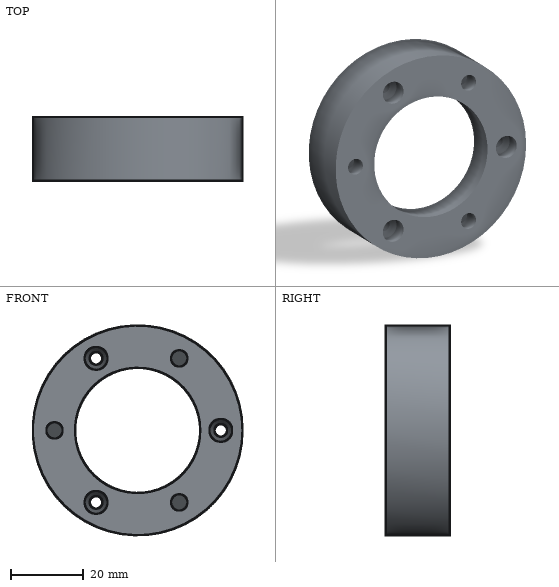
import cadquery as cq
import math

outer_diameter = 58.0
bore_diameter = 34.5
thickness = 17.7

recess_diameter = 52.8
recess_depth = thickness / 2

pitch_radius = 22.95
holes_per_set = 3
hole_step = 360.0 / holes_per_set

screw_hole_diameter = 3.4
screw_head_diameter = 6.3
screw_head_depth = 4.65
seat_angle = 90.0
seat_depth = (screw_head_diameter - screw_hole_diameter) / 2 / math.tan(math.radians(seat_angle / 2))

blind_hole_diameter = 4.5
blind_hole_depth = 5.8

screw_start_angle = 0.0
blind_start_angle = hole_step / 2


def hole_centres(start_angle):
    """Evenly spaced (X, Z) centres of one set of holes."""
    angles = [math.radians(start_angle + i * hole_step) for i in range(holes_per_set)]
    return [(pitch_radius * math.cos(a), pitch_radius * math.sin(a)) for a in angles]


def cylinder(diameter, start_y, length):
    """Cylinder on the ring axis, running from start_y towards +Y."""
    plane = cq.Workplane("XZ", origin=(0, start_y, 0))
    return plane.circle(diameter / 2).extrude(-length)


def screw_hole_cutter():
    """Stepped cutter that runs from the -Y face through the flange."""
    front = -thickness / 2
    seat_start = front + screw_head_depth
    seat_end = seat_start + seat_depth
    profile = [
        (0, front),
        (screw_head_diameter / 2, front),
        (screw_head_diameter / 2, seat_start),
        (screw_hole_diameter / 2, seat_end),
        (screw_hole_diameter / 2, thickness / 2),
        (0, thickness / 2),
    ]
    return cq.Workplane("XY").polyline(profile).close().revolve(360, (0, 0), (0, 1))


def cut_hole_set(body, cutter, start_angle):
    """Cut one set of holes around the pitch circle."""
    for x, z in hole_centres(start_angle):
        body = body.cut(cutter.translate((x, 0, z)))
    return body


ring = cylinder(outer_diameter, -thickness / 2, thickness)
ring = ring.cut(cylinder(bore_diameter, -thickness / 2, thickness))
ring = ring.cut(cylinder(recess_diameter, thickness / 2 - recess_depth, recess_depth))

ring = cut_hole_set(ring, screw_hole_cutter(), screw_start_angle)
blind_hole_cutter = cylinder(blind_hole_diameter, -thickness / 2, blind_hole_depth)
result = cut_hole_set(ring, blind_hole_cutter, blind_start_angle)